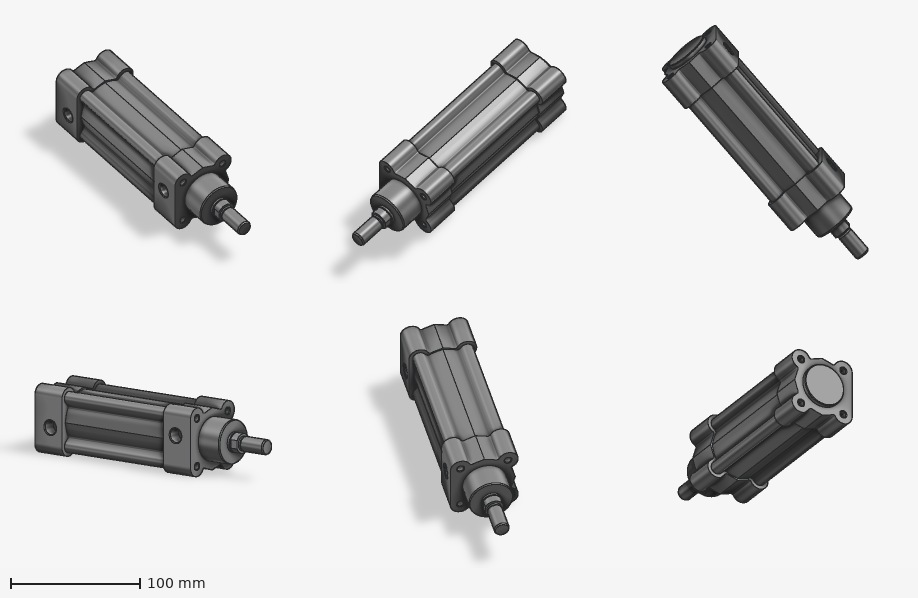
import cadquery as cq
import math

overall_length = 213.0
rear_boss_length = 3.8
cap_length = 27.0
barrel_length = 100.5
front_boss_length = 21.0

rear_cap_start = rear_boss_length
barrel_start = rear_cap_start + cap_length
front_cap_start = barrel_start + barrel_length
front_cap_end = front_cap_start + cap_length
front_boss_end = front_cap_end + front_boss_length

ear_spacing = 38.0
ear_offset = ear_spacing / 2
ear_distance = ear_offset * math.sqrt(2)
root_radius = 2.1

cap_crown_radius = 23.6
cap_ridge_half_width = 6.8
cap_ear_radius = 8.0
port_face = ear_offset + cap_ear_radius

barrel_crown_radius = 22.5
barrel_ridge_half_width = 5.0
barrel_ear_radius = 5.1

boss_diameter = 35.0
rear_boss_chamfer = 0.6
front_boss_chamfer_length = 1.3
front_boss_chamfer_depth = 0.5

mount_hole_diameter = 5.1
mount_hole_mouth = 6.4
mount_hole_depth = 16.0

port_diameter = 11.0
port_mouth = 12.5
port_depth = 10.6
port_height = 4.7
rear_port_x = 19.2
front_port_x = 143.5

rod_diameter = 16.0
rod_collar_length = 2.0
rod_chamfer_length = 0.6
wrench_diameter = 15.5
wrench_start = front_boss_end + rod_collar_length + rod_chamfer_length
wrench_length = 6.5
wrench_end = wrench_start + wrench_length
flat_width = 14.0
flat_runout = 0.6
neck_shoulder_diameter = 11.5
neck_diameter = 10.6
neck_half_length = 1.3
thread_diameter = 12.0
thread_end_diameter = 10.6
thread_chamfer_length = 1.3


def from_diagonal(along, across):
    """Turn a point given along and across the corner diagonal into plain (side, up) coordinates."""
    return (along - across) / math.sqrt(2), (along + across) / math.sqrt(2)


def turned(point, quarter):
    """Rotate a point clockwise by a number of quarter turns."""
    x, y = point
    for _ in range(quarter):
        x, y = y, -x
    return x, y


def mirrored(point):
    """Reflect a point across the corner diagonal."""
    return point[1], point[0]


def on_circle(radius, point_a, point_b):
    """Middle of the short arc about the origin between two points on it."""
    x, y = point_a[0] + point_b[0], point_a[1] + point_b[1]
    length = math.hypot(x, y)
    return x * radius / length, y * radius / length


def arc_middle(center, start, end):
    """Middle of the short arc about a centre between two points on it."""
    radius = math.hypot(start[0] - center[0], start[1] - center[1])
    offset_a = (start[0] - center[0], start[1] - center[1])
    offset_b = (end[0] - center[0], end[1] - center[1])
    x, y = on_circle(radius, offset_a, offset_b)
    return center[0] + x, center[1] + y


def lobed_body(start, length, crown_radius, ridge_half_width, ear_radius, straight_neck):
    """Extrude the four-eared section along X. The ears join the crown through concave root arcs,
    directly or by a neck with straight walls parallel to the corner diagonal."""
    root_orbit = crown_radius + root_radius
    root_reach = ear_radius + root_radius
    if straight_neck:
        root_across = root_reach
        root_along = math.sqrt(root_orbit**2 - root_across**2)
        ear_join = (root_along, ear_radius)
    else:
        root_along = (root_orbit**2 - root_reach**2 + ear_distance**2) / (2 * ear_distance)
        root_across = math.sqrt(root_orbit**2 - root_along**2)
        share = ear_radius / root_reach
        ear_join = (ear_distance + (root_along - ear_distance) * share, root_across * share)

    root_center = from_diagonal(root_along, root_across)
    root_end = from_diagonal(*ear_join)
    ear_start = from_diagonal(ear_distance, ear_radius) if straight_neck else root_end
    ear_tip = from_diagonal(ear_distance + ear_radius, 0)
    root_start = tuple(c * crown_radius / root_orbit for c in root_center)
    ridge_height = math.sqrt(crown_radius**2 - ridge_half_width**2)
    ridge_foot = (ridge_half_width, ridge_height)
    ridge_peak = (0, crown_radius**2 / ridge_height)
    crown_middle = on_circle(crown_radius, ridge_foot, root_start)
    root_middle = arc_middle(root_center, root_start, root_end)

    steps = [
        (None, ridge_foot),
        (crown_middle, root_start),
        (root_middle, root_end),
        (ear_tip, mirrored(ear_start)),
        (mirrored(root_middle), mirrored(root_start)),
        (mirrored(crown_middle), mirrored(ridge_foot)),
        (None, mirrored(ridge_peak)),
    ]
    if straight_neck:
        steps.insert(4, (None, mirrored(root_end)))
        steps.insert(3, (None, ear_start))

    outline = cq.Workplane("YZ", origin=(start, 0, 0)).moveTo(*ridge_peak)
    for quarter in range(4):
        for middle, end in steps:
            if middle is None:
                outline = outline.lineTo(*turned(end, quarter))
            else:
                outline = outline.threePointArc(turned(middle, quarter), turned(end, quarter))
    return outline.close().extrude(length)


def revolved(profile):
    """Revolve a closed (x, radius) profile about the X axis."""
    return cq.Workplane("XY").polyline(profile).close().revolve(360, (0, 0, 0), (1, 0, 0))


def chamfered_hole(plane, diameter, mouth, depth):
    """Cutter for a blind hole whose mouth is chamfered at 45 degrees; it cuts against the normal."""
    hole = cq.Workplane(plane).circle(diameter / 2).extrude(-depth)
    chamfer_depth = (mouth - diameter) / 2
    cone = cq.Workplane(plane).circle(mouth / 2).workplane(offset=-chamfer_depth).circle(diameter / 2).loft()
    return hole.union(cone)


def make_cap(start, outer_face, outward, port_x, port_z):
    """Cap block with its flat port side, air port and four mounting holes, without its boss."""
    cap = lobed_body(start, cap_length, cap_crown_radius, cap_ridge_half_width, cap_ear_radius, False)
    port_pad = (
        cq.Workplane("XY")
        .box(cap_length, port_face, ear_spacing, centered=(False, False, True))
        .translate((start, -port_face, 0))
    )
    cap = cap.union(port_pad)
    port_plane = cq.Plane((port_x, -port_face, port_z), (1, 0, 0), (0, -1, 0))
    cap = cap.cut(chamfered_hole(port_plane, port_diameter, port_mouth, port_depth))
    for y in (-ear_offset, ear_offset):
        for z in (-ear_offset, ear_offset):
            hole_plane = cq.Plane((outer_face, y, z), (0, 1, 0), (outward, 0, 0))
            cap = cap.cut(chamfered_hole(hole_plane, mount_hole_diameter, mount_hole_mouth, mount_hole_depth))
    return cap


def make_rear_cap():
    """Rear cap with a short, closed centring boss."""
    boss_radius = boss_diameter / 2
    boss = revolved([
        (0, 0),
        (0, boss_radius - rear_boss_chamfer),
        (rear_boss_chamfer, boss_radius),
        (rear_cap_start, boss_radius),
        (rear_cap_start, 0),
    ])
    cap = make_cap(rear_cap_start, rear_cap_start, -1, rear_port_x, -port_height)
    return cap.union(boss)


def make_front_cap():
    """Front cap with a long centring boss, bored through for the piston rod."""
    boss_radius = boss_diameter / 2
    boss = revolved([
        (front_cap_end, 0),
        (front_cap_end, boss_radius),
        (front_boss_end - front_boss_chamfer_length, boss_radius),
        (front_boss_end, boss_radius - front_boss_chamfer_depth),
        (front_boss_end, 0),
    ])
    cap = make_cap(front_cap_start, front_cap_end, 1, front_port_x, port_height)
    rod_bore = (
        cq.Workplane("YZ", origin=(front_cap_start, 0, 0))
        .circle(rod_diameter / 2)
        .extrude(front_boss_end - front_cap_start)
    )
    return cap.union(boss).cut(rod_bore)


def make_barrel():
    """Plain eared barrel between the caps."""
    return lobed_body(
        barrel_start, barrel_length, barrel_crown_radius, barrel_ridge_half_width, barrel_ear_radius, True
    )


def make_piston_rod():
    """Stepped rod with two wrench flats, an undercut neck and a plain cylindrical end."""
    neck_middle = wrench_end + neck_half_length
    thread_start = neck_middle + neck_half_length
    collar_end = front_boss_end + rod_collar_length
    rod = revolved([
        (front_cap_start, 0),
        (front_cap_start, rod_diameter / 2),
        (collar_end, rod_diameter / 2),
        (wrench_start, wrench_diameter / 2),
        (wrench_end, wrench_diameter / 2),
        (wrench_end, neck_shoulder_diameter / 2),
        (neck_middle, neck_diameter / 2),
        (thread_start, thread_diameter / 2),
        (overall_length - thread_chamfer_length, thread_diameter / 2),
        (overall_length, thread_end_diameter / 2),
        (overall_length, 0),
    ])
    flat_length = wrench_length - flat_runout
    for side in (-1, 1):
        flat_cut = cq.Workplane("XY").box(flat_length, rod_diameter, rod_diameter).translate(
            (wrench_end - flat_length / 2, side * (flat_width + rod_diameter) / 2, 0)
        )
        rod = rod.cut(flat_cut)
    return rod


rear_cap = make_rear_cap()
barrel = make_barrel()
front_cap = make_front_cap()
piston_rod = make_piston_rod()

result = cq.Compound.makeCompound([rear_cap.val(), barrel.val(), front_cap.val(), piston_rod.val()])